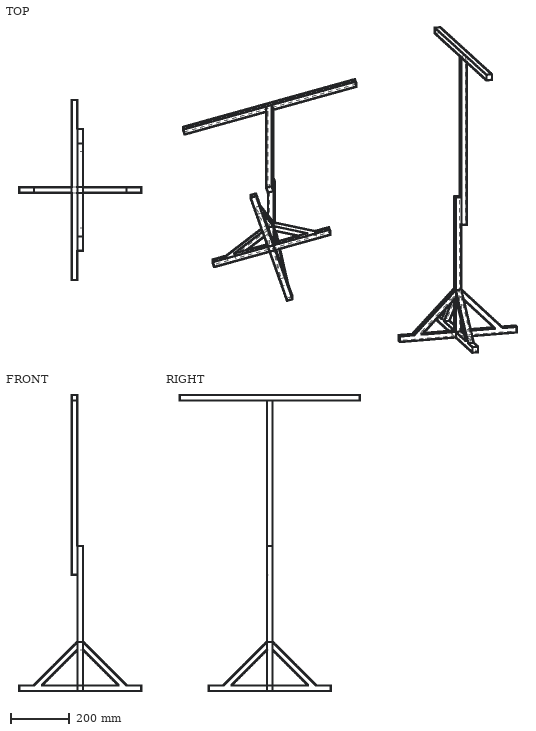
import cadquery as cq
import math

bar = 20.0
foot_span = 420.0
leg_count = 4
lower_post_height = 500.0
post_overlap = 100.0
upper_post_length = 600.0
crossbar_length = 620.0
toe_length = 50.0
brace_angle = 45.0

half_bar = bar / 2
foot_tip = foot_span / 2
upper_post_x = -bar
upper_post_bottom = lower_post_height - post_overlap
crossbar_bottom = upper_post_bottom + upper_post_length

slope = math.tan(math.radians(brace_angle))
brace_outer_x = foot_tip - toe_length
brace_inner_x = brace_outer_x - bar / math.sin(math.radians(brace_angle))
brace_top_z = bar + (brace_outer_x - half_bar) * slope
brace_underside_z = bar + (brace_inner_x - half_bar) * slope


def make_bar(length_x, length_y, length_z, x, bottom_z):
    """Straight bar centred on Y = 0, standing on bottom_z."""
    return (
        cq.Workplane("XY")
        .box(length_x, length_y, length_z, centered=(True, True, False))
        .translate((x, 0, bottom_z))
    )


def make_leg(angle):
    """Foot bar with its brace, butted against the lower post and turned about Z."""
    outline = [
        (half_bar, 0),
        (foot_tip, 0),
        (foot_tip, bar),
        (brace_outer_x, bar),
        (half_bar, brace_top_z),
        (half_bar, brace_underside_z),
        (brace_inner_x, bar),
        (half_bar, bar),
    ]
    leg = cq.Workplane("XZ").polyline(outline).close().extrude(half_bar, both=True)
    return leg.rotate((0, 0, 0), (0, 0, 1), angle)


lower_post = make_bar(bar, bar, lower_post_height, 0, 0)
upper_post = make_bar(bar, bar, upper_post_length, upper_post_x, upper_post_bottom)
crossbar = make_bar(bar, crossbar_length, bar, upper_post_x, crossbar_bottom)
legs = [make_leg(index * 360 / leg_count) for index in range(leg_count)]

result = cq.Compound.makeCompound([
    lower_post.val(),
    upper_post.val(),
    crossbar.val(),
    *[leg.val() for leg in legs],
])